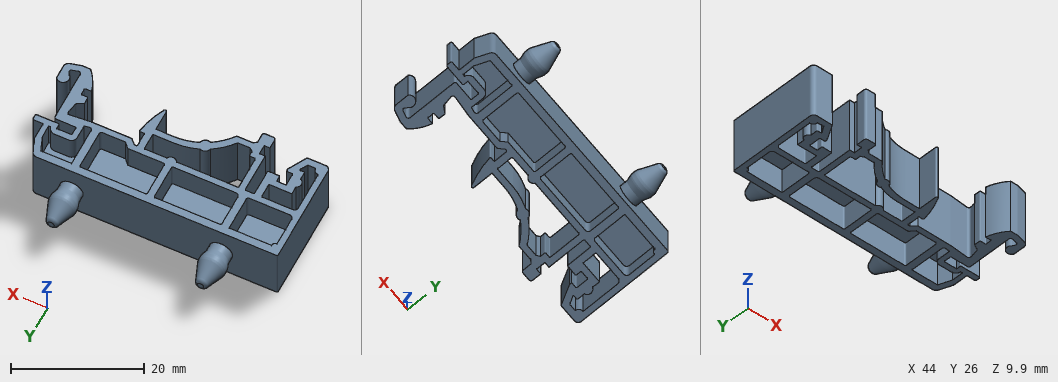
import cadquery as cq
import math


length = 44.0
width = 9.9
body_depth = 8.5
rim = 1.3
wall = 1.05
web = 0.9
pocket_depth = (width - web) / 2
small_round = 0.15
overlap = 0.5

underside = -body_depth
pocket_front = underside + wall
shelf_back = -11.0
catch_level = -13.1
jaw_level = -14.3
clip_floor = -16.7
clip_front = -17.84
tongue_front = -18.95

clip_leg_right = 8.1
leg_left = 9.65
leg_right = leg_left + 1.1
foot_right = leg_left + 2.15
arm_root = 12.35
arm_back = clip_floor + wall
blade_left = 26.5
blade_right = blade_left + 1.2

pin_spacing = 25.0
first_pin_x = 9.47
pin_length = 7.0


def outline(corners):
    """Closed wire from corners (x, y[, rounding radius[, point an arc to this corner passes through]])."""
    corners = [tuple(c) + (0, None)[len(c) - 2:] for c in corners]
    count = len(corners)
    spans = []
    for i, (x, y, radius, _) in enumerate(corners):
        here = cq.Vector(x, y)
        if not radius:
            spans.append((here, None, here))
            continue
        before = cq.Vector(*corners[i - 1][:2])
        after = cq.Vector(*corners[(i + 1) % count][:2])
        to_before = (before - here).normalized()
        to_after = (after - here).normalized()
        half_angle = to_before.getAngle(to_after) / 2
        setback = radius / math.tan(half_angle)
        bisector = (to_before + to_after).normalized()
        middle = here + bisector * (radius / math.sin(half_angle) - radius)
        spans.append((here + to_before * setback, middle, here + to_after * setback))

    edges = []
    for i, (start, middle, end) in enumerate(spans):
        if middle is not None:
            edges.append(cq.Edge.makeThreePointArc(start, middle, end))
        following = (i + 1) % count
        next_start = spans[following][0]
        via = corners[following][3]
        if via is not None:
            edges.append(cq.Edge.makeThreePointArc(end, cq.Vector(*via), next_start))
        elif (next_start - end).Length > 1e-6:
            edges.append(cq.Edge.makeLine(end, next_start))
    return cq.Wire.assembleEdges(edges)


def prism(corners, height=width, base=0.0):
    """Solid with the given outline, standing on z = base."""
    solid = cq.Solid.extrudeLinear(outline(corners), [], cq.Vector(0, 0, height))
    return cq.Workplane(obj=solid.translate(cq.Vector(0, 0, base)))


def rod(x, y, radius):
    """Full-width round bar along Z."""
    return cq.Workplane().center(x, y).circle(radius).extrude(width)


def make_body_and_right_foot():
    """Main beam, the slotted ledge at its right end, and the right-hand rail foot."""
    shoulder_x = 42.12
    ledge_right = length - 0.1
    ledge_back = -5.84
    ledge_front = ledge_back - wall
    slot_left = 37.38
    slot_right = 39.92
    slot_back = ledge_back - 0.12
    post_right = 41.08
    thick_front = underside - 0.85
    jaw_left = 38.2
    notch_right = 39.34
    curl_x = 43.15
    curl_y = -14.75
    curl_radius = 1.0
    slope_top_x = 41.0
    slope_bottom_y = -2.91
    sole_left = 40.07
    sole_right = 41.53
    jaw_bulge = (38.97, -16.3)
    thick_left = 28.99
    thick_right = 35.65
    step_left = 28.14
    ledge_round = 0.25

    body = prism([
        (0, 0, 0.25),
        (slope_top_x, 0, 0.9),
        (shoulder_x, slope_bottom_y),
        (shoulder_x, ledge_back),
        (ledge_right, ledge_back, ledge_round),
        (ledge_right, ledge_front, ledge_round),
        (slot_right, ledge_front, small_round),
        (slot_right, slot_back),
        (slot_left, slot_back, small_round),
        (slot_left, pocket_front, small_round),
        (post_right, pocket_front, 0.3),
        (post_right, clip_floor - 0.1, 0.4),
        (43.0, -16.3, 0.35),
        (42.3, -15.2),
        (curl_x, curl_y),
        (length, curl_y + 0.5),
        (length, -17.2, 0.9),
        (sole_right, clip_front),
        (sole_left, clip_front),
        (jaw_left, jaw_level, 0, jaw_bulge),
        (notch_right, jaw_level, small_round),
        (notch_right, catch_level, small_round),
        (jaw_left, catch_level, small_round),
        (jaw_left - 0.05, -11.9),
        (39.3, -11.25, 0.3),
        (39.75, -8.98, 0.4),
        (thick_right, thick_front),
        (thick_left, thick_front),
        (step_left, underside),
        (0, underside),
    ])
    curl = rod(curl_x, curl_y, curl_radius)
    beyond_end = cq.Workplane().box(length, length, width, centered=False).translate((length, -length, 0))
    return body.union(curl.cut(beyond_end))


def make_left_clip():
    """Left wall with its closed, springy rail hook."""
    leg_inner = 6.89
    hook_left = 3.05
    hook_right = 4.52
    heel_x = 3.87
    pad_y = -13.17
    pad_half = 0.8
    catch_left = 6.09
    jaw_right = 5.6
    jaw_tip = 0.45
    heel_y = -15.36
    shelf_front = shelf_back - wall

    clip = prism([
        (0, underside + overlap),
        (clip_leg_right, underside + overlap),
        (clip_leg_right, catch_level, small_round),
        (catch_left, catch_level, small_round),
        (catch_left, shelf_front, small_round),
        (hook_right, shelf_front, small_round),
        (hook_right, jaw_level, small_round),
        (jaw_right, jaw_level),
        (jaw_right, jaw_level - jaw_tip),
        (heel_x, clip_front),
        (0, clip_front, 0.75),
    ])
    cavity = prism([
        (wall, underside, 0.65),
        (leg_inner, underside, small_round),
        (leg_inner, shelf_back),
        (hook_left, shelf_back),
        (hook_left, heel_y, small_round),
        (heel_x, heel_y),
        (heel_x, heel_y - 0.2),
        (3.16, clip_floor),
        (1.9, clip_floor),
        (wall, -15.86, 0, (1.65, -16.1)),
    ])
    pad = prism([
        (hook_left + overlap, pad_y + pad_half),
        (hook_left, pad_y + pad_half),
        (hook_left, pad_y - pad_half, 0, (hook_left - 0.55, pad_y)),
        (hook_left + overlap, pad_y - pad_half),
    ])
    return clip.cut(cavity).union(pad)


def make_middle_leg():
    """Leg in front of the beam, notched on its left and joined to the spring arm on its right."""
    notch_right = 10.61
    notch_back = -15.36
    notch_front = -16.97
    arm_flare = 0.4
    return prism([
        (leg_left, underside + overlap),
        (leg_right, underside + overlap),
        (leg_right, jaw_level, small_round),
        (foot_right, jaw_level, small_round),
        (foot_right, arm_back + arm_flare),
        (arm_root, arm_back),
        (arm_root, clip_floor),
        (foot_right, clip_floor - arm_flare),
        (foot_right, tongue_front, 0.35),
        (leg_left, tongue_front, 0.42),
        (leg_left, notch_front),
        (notch_right, notch_front),
        (notch_right, notch_back),
        (leg_left, notch_back),
    ])


def make_spring_arm():
    """Arched arm from the middle leg to the blade, with a round thickening halfway."""
    crown_back = -11.39
    crown_front = crown_back - wall
    bend_back_x = 14.42
    bend_front_x = 15.08
    crown_back_x = 22.8
    crown_front_x = 23.65
    boss_x = 18.56
    boss_y = -13.05
    boss_radius = 1.0
    arm = prism([
        (foot_right, arm_back),
        (bend_back_x, arm_back),
        (crown_back_x, crown_back, 0, (18.0, -12.6)),
        (blade_left + overlap, crown_back),
        (blade_left + overlap, crown_front),
        (crown_front_x, crown_front),
        (bend_front_x, clip_floor, 0, (18.2, -13.9)),
        (foot_right, clip_floor),
    ])
    return arm.union(rod(boss_x, boss_y, boss_radius))


def make_blade():
    """Tapered finger that the spring arm ends in."""
    barb_right = 28.6
    tip_round = 0.25
    tip_y = -16.2
    tip_center_y = tip_y + tip_round
    return prism([
        (blade_left, underside + overlap),
        (blade_right, underside + overlap),
        (blade_right, shelf_back),
        (barb_right, shelf_back, small_round),
        (barb_right - 0.05, shelf_back - 0.3),
        (blade_left + 2 * tip_round, tip_center_y, 0, (28.05, -13.4)),
        (blade_left, tip_center_y, 0, (blade_left + tip_round, tip_y)),
    ])


def make_nub():
    """Shallow rounded bump on the underside of the beam."""
    nub_x = 21.92
    half_width = 0.8
    nub_height = 0.5
    return prism([
        (nub_x - half_width, underside + overlap),
        (nub_x - half_width, underside),
        (nub_x + half_width, underside, 0, (nub_x, underside - nub_height)),
        (nub_x + half_width, underside + overlap),
    ])


def pocket_outlines():
    """Outlines of the four pockets in the beam, left to right."""
    corner_round = 0.25
    first_right = 8.76
    second_left = 10.07
    second_right = 21.34
    third_left = 22.53
    third_right = 33.79
    fourth_left = 35.12
    fourth_right = 41.19
    step_front = -8.33
    bridge_left = 36.41
    bridge_back = -4.9
    bridge_foot = -5.84
    bridge_right = 39.92
    corner_post = 0.6
    step_left = 28.74
    step_right = 29.57
    slope_top_x = 40.28
    slope_bottom_y = -3.69
    return [
        [
            (wall, -rim - corner_post),
            (wall + corner_post, -rim, 0, (wall + 0.45, -rim - 0.45)),
            (first_right, -rim),
            (first_right, pocket_front, 0.35),
            (wall, pocket_front, 0.65),
        ],
        [
            (second_left, -rim, corner_round),
            (second_right, -rim, corner_round),
            (second_right, pocket_front, corner_round),
            (second_left, pocket_front, 0.6),
        ],
        [
            (third_left, -rim, corner_round),
            (third_right, -rim, corner_round),
            (third_right, step_front, 0.4),
            (step_right, step_front),
            (step_left, pocket_front),
            (third_left, pocket_front, corner_round),
        ],
        [
            (fourth_left, -rim),
            (slope_top_x, -rim),
            (fourth_right, slope_bottom_y),
            (fourth_right, bridge_foot),
            (40.85, bridge_foot),
            (bridge_right, bridge_back, 0, (40.5, -5.2)),
            (bridge_left, bridge_back, 0.95),
            (bridge_left, -8.2),
            (35.65, step_front),
            (fourth_left, step_front, 0.4),
        ],
    ]


def cut_pockets(solid):
    """Sink each pocket from both side faces, leaving a web at mid-width."""
    for corners in pocket_outlines():
        solid = solid.cut(prism(corners, pocket_depth))
        solid = solid.cut(prism(corners, pocket_depth, width - pocket_depth))
    return solid


def round_leg_roots(solid):
    """Round the inside corners where the legs and the blade meet the underside."""
    for x in (clip_leg_right, leg_left, leg_right, blade_left, blade_right):
        edge = cq.selectors.NearestToPointSelector((x, underside, width / 2))
        solid = solid.edges("|Z").edges(edge).fillet(small_round)
    return solid


def make_pin(x):
    """Barbed snap pin pointing in +Y from the back face."""
    shank_radius = 1.93
    barb_radius = 2.27
    nose_radius = 1.1
    flat_radius = 0.55
    cone_edge_radius = 2.18
    edge_round = 0.05
    shank_end = 1.34
    barb_start = 2.27
    land_start = 2.52
    land_end = 3.18
    cone_start = 3.6
    cone_end = 6.4
    cone_blend = ((land_end + cone_start) / 2, barb_radius - edge_round / 2)
    profile = (
        cq.Workplane("YZ")
        .moveTo(-overlap, 0)
        .lineTo(-overlap, shank_radius)
        .lineTo(shank_end, shank_radius)
        .lineTo(barb_start, barb_radius - edge_round)
        .lineTo(land_start, barb_radius)
        .lineTo(land_end, barb_radius)
        .threePointArc(cone_blend, (cone_start, cone_edge_radius))
        .lineTo(cone_end, nose_radius)
        .threePointArc((cone_end + 0.4, nose_radius - 0.2), (pin_length, flat_radius))
        .lineTo(pin_length, 0)
        .close()
    )
    pin = profile.revolve(360, (0, 0, 0), (1, 0, 0))
    return pin.translate((x, 0, width / 2))


def build():
    part = make_body_and_right_foot()
    for feature in (make_left_clip(), make_middle_leg(), make_blade(), make_spring_arm(), make_nub()):
        part = part.union(feature)
    part = round_leg_roots(part)
    part = cut_pockets(part)
    for pin_x in (first_pin_x, first_pin_x + pin_spacing):
        part = part.union(make_pin(pin_x))
    return part


result = build()